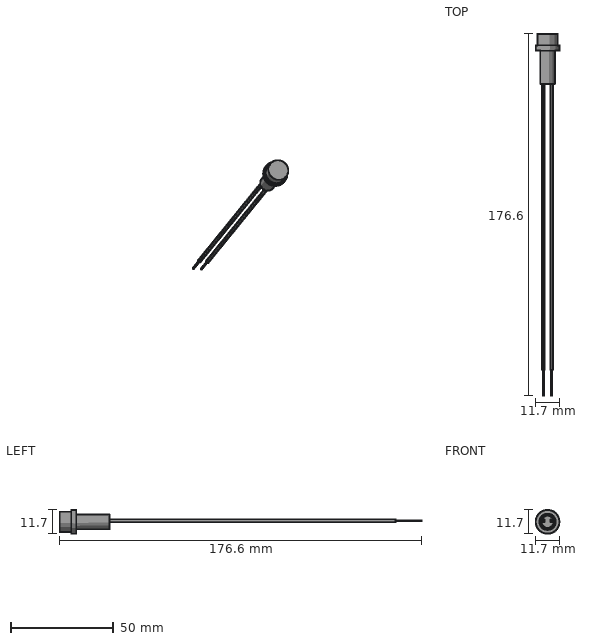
import cadquery as cq

total_length = 176.63

lens_diameter = 10.05
lens_exposed_length = 5.6

flange_diameter = 11.68
flange_length = 2.55
flange_floor = 0.5
barrel_diameter = 7.3
barrel_length = 16.4
barrel_end_fillet = 0.45
end_recess_diameter = 5.9
end_recess_depth = 0.3
base_groove_diameter = 8.0
base_groove_depth = 0.3

wire_spacing = 4.05
wire_height = 0.53
insulation_diameter = 1.5
conductor_diameter = 0.7
bare_length = 12.7
wire_insertion = 3.0

lens_front_y = total_length / 2
wire_tip_y = -total_length / 2
flange_front_y = lens_front_y - lens_exposed_length
flange_back_y = flange_front_y - flange_length
lens_seat_y = flange_back_y + flange_floor
barrel_end_y = flange_back_y - barrel_length
wire_root_y = barrel_end_y + wire_insertion
insulation_end_y = wire_tip_y + bare_length


def rod(diameter, y_start, y_end, x=0, z=0):
    """Round bar parallel to Y, from y_start to y_end."""
    start = cq.Plane(origin=(x, y_start, z), xDir=(1, 0, 0), normal=(0, 1, 0))
    return cq.Workplane(start).circle(diameter / 2).extrude(y_end - y_start)


def make_lens():
    """Plain round lens, seated in the flange."""
    return rod(lens_diameter, lens_seat_y, lens_front_y)


def make_holder(wire_positions):
    """Flange and barrel, with the lens socket, base groove, end recess and wire holes cut in."""
    barrel = rod(barrel_diameter, barrel_end_y, flange_front_y)
    barrel = barrel.faces("<Y").edges().fillet(barrel_end_fillet)
    groove = rod(base_groove_diameter, flange_back_y, flange_back_y + base_groove_depth)
    flange = rod(flange_diameter, flange_back_y, flange_front_y).cut(groove)
    holder = flange.union(barrel)
    holder = holder.cut(rod(lens_diameter, lens_seat_y, flange_front_y))
    holder = holder.cut(rod(end_recess_diameter, barrel_end_y, barrel_end_y + end_recess_depth))
    for x in wire_positions:
        holder = holder.cut(rod(insulation_diameter, barrel_end_y, wire_root_y, x, wire_height))
    return holder


def make_conductor(x):
    """Bare core, running from the wire tip to the bottom of its hole in the barrel."""
    return rod(conductor_diameter, wire_tip_y, wire_root_y, x, wire_height)


def make_insulation(x):
    """Sleeve around the conductor, stripped back from the wire tip."""
    sleeve = rod(insulation_diameter, insulation_end_y, wire_root_y, x, wire_height)
    return sleeve.cut(make_conductor(x))


wire_positions = [-wire_spacing / 2, wire_spacing / 2]

lens = make_lens()
holder = make_holder(wire_positions)
conductors = [make_conductor(x).val() for x in wire_positions]
insulations = [make_insulation(x).val() for x in wire_positions]

result = cq.Compound.makeCompound([lens.val(), holder.val(), *insulations, *conductors])